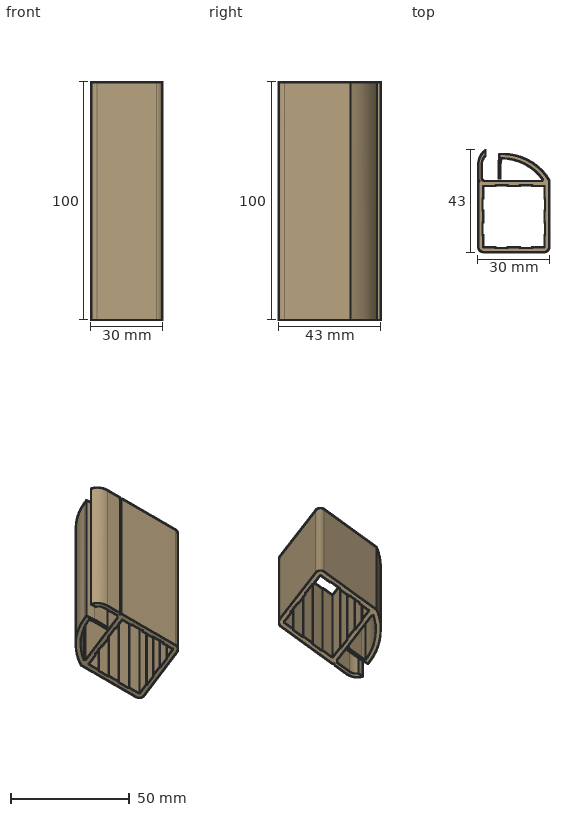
import cadquery as cq

length = 100.0
width = 30.0
height = 43.0

tube_depth = 30.0
corner_radius = 2.5
wall = 2.2

cavity_size = width - 2 * wall
strips_per_wall = 5
relief_depth = 0.3

lip_wall = 1.6
lip_bend_start = 36.7
lip_tip_x = 3.2
lip_tip_face = 2.4
lip_outer_mid = (1.0, 40.6)
lip_inner_mid = (2.1, 39.2)
lip_inner_bend_start = 37.2
lip_root_fillet = 1.2

cover_left = 8.9
cover_top = 41.4
cover_flat_end = 10.3
cover_end_y = 30.2
cover_thickness = 1.9
cover_inner_mid = (21.4, 36.1)
cover_inner_end = (27.2, 30.6)
cover_root_x = 26.7

leg_thickness = 0.9
leg_lean = 0.3
leg_lean_end = 37.5
leg_bottom = 31.0

groove_width = 0.9
groove_depth = 0.6


def make_tube():
    outer = (
        cq.Workplane("XY")
        .rect(width, tube_depth)
        .extrude(length)
        .edges("|Z and <Y")
        .fillet(corner_radius)
    )
    cavity = cq.Workplane("XY").rect(cavity_size, cavity_size).extrude(length)
    strip_width = cavity_size / strips_per_wall
    relief_span = cavity_size + 2 * relief_depth
    for index in range(1, strips_per_wall, 2):
        offset = -cavity_size / 2 + (index + 0.5) * strip_width
        across_x = cq.Workplane("XY").center(0, offset).rect(relief_span, strip_width).extrude(length)
        across_y = cq.Workplane("XY").center(offset, 0).rect(strip_width, relief_span).extrude(length)
        cavity = cavity.union(across_x).union(across_y)
    return outer.cut(cavity).translate((width / 2, tube_depth / 2, 0))


def make_lip():
    root_y = tube_depth - wall / 2
    return (
        cq.Workplane("XY")
        .moveTo(0, root_y)
        .lineTo(0, lip_bend_start)
        .threePointArc(lip_outer_mid, (lip_tip_x, height))
        .lineTo(lip_tip_x, height - lip_tip_face)
        .threePointArc(lip_inner_mid, (lip_wall, lip_inner_bend_start))
        .lineTo(lip_wall, tube_depth + lip_root_fillet)
        .radiusArc((lip_wall + lip_root_fillet, tube_depth), -lip_root_fillet)
        .lineTo(lip_wall + lip_root_fillet, root_y)
        .close()
        .extrude(length)
    )


def make_cover():
    root_y = tube_depth - wall / 2
    run = width - cover_flat_end
    drop = cover_top - cover_end_y
    arc_radius = (run**2 + drop**2) / (2 * drop)
    leg_left = cover_left - leg_lean
    return (
        cq.Workplane("XY")
        .moveTo(cover_left, cover_top)
        .lineTo(cover_flat_end, cover_top)
        .radiusArc((width, cover_end_y), arc_radius)
        .lineTo(width, root_y)
        .lineTo(cover_root_x, root_y)
        .lineTo(cover_root_x, tube_depth)
        .lineTo(*cover_inner_end)
        .threePointArc(cover_inner_mid, (cover_left + leg_thickness, cover_top - cover_thickness))
        .lineTo(leg_left + leg_thickness, leg_lean_end)
        .lineTo(leg_left + leg_thickness, leg_bottom)
        .lineTo(leg_left, leg_bottom)
        .lineTo(leg_left, leg_lean_end)
        .close()
        .extrude(length)
    )


def make_groove():
    return (
        cq.Workplane("XY")
        .moveTo(0, tube_depth - groove_width / 2)
        .lineTo(groove_depth, tube_depth)
        .lineTo(0, tube_depth + groove_width / 2)
        .close()
        .extrude(length)
    )


result = make_tube().union(make_lip()).union(make_cover()).cut(make_groove())